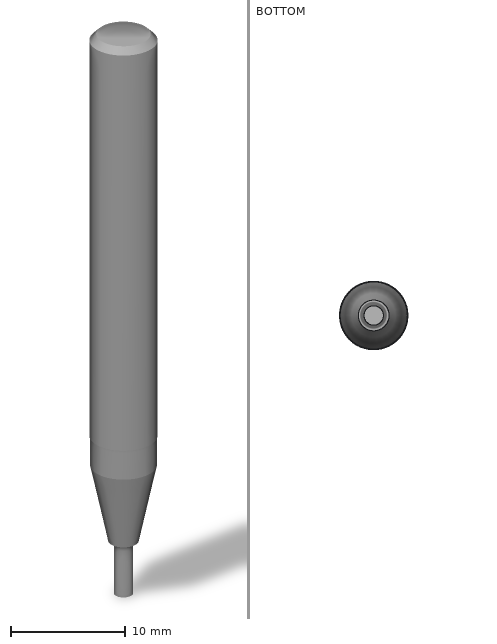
import cadquery as cq

TOOL_LENGTH = 55.0

SHANK_DIAMETER = 6.0
SHANK_BOTTOM_Z = 15.5
SHANK_CHAMFER = 0.6

COLLAR_DIAMETER = 5.9
COLLAR_BOTTOM_Z = 12.65

TAPER_END_DIAMETER = 2.7
TAPER_BOTTOM_Z = 5.15
NECK_TOP_Z = 5.1

TIP_DIAMETER = 1.7
TIP_LENGTH = 3.6


def make_holder():
    """Chamfered shank, collar, taper and neck, revolved as one solid."""
    shank_radius = SHANK_DIAMETER / 2
    collar_radius = COLLAR_DIAMETER / 2
    neck_radius = TIP_DIAMETER / 2
    return (
        cq.Workplane("XZ")
        .moveTo(0, TIP_LENGTH)
        .lineTo(neck_radius, TIP_LENGTH)
        .lineTo(neck_radius, NECK_TOP_Z)
        .lineTo(TAPER_END_DIAMETER / 2, TAPER_BOTTOM_Z)
        .lineTo(collar_radius, COLLAR_BOTTOM_Z)
        .lineTo(collar_radius, SHANK_BOTTOM_Z)
        .lineTo(shank_radius, SHANK_BOTTOM_Z)
        .lineTo(shank_radius, TOOL_LENGTH - SHANK_CHAMFER)
        .lineTo(shank_radius - SHANK_CHAMFER, TOOL_LENGTH)
        .lineTo(0, TOOL_LENGTH)
        .close()
        .revolve(360, (0, 0, 0), (0, 1, 0))
    )


def make_cutting_tip():
    """Plain cylinder that meets the flat lower end of the neck."""
    return cq.Workplane("XY").circle(TIP_DIAMETER / 2).extrude(TIP_LENGTH)


holder = make_holder()
cutting_tip = make_cutting_tip()

result = cq.Compound.makeCompound([holder.val(), cutting_tip.val()])